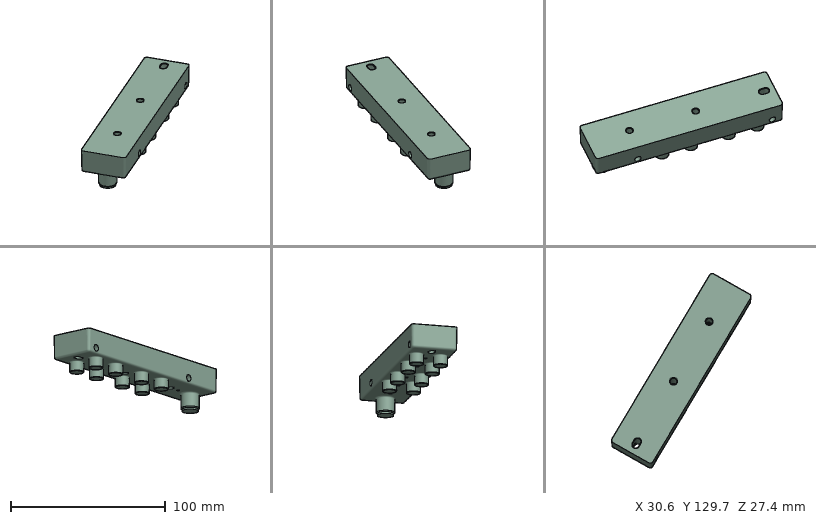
import cadquery as cq
import math

LENGTH = 129.7
WIDTH = 30.6
BODY_HEIGHT = 16.0
DRAFT_ANGLE = 1.0
CORNER_RADIUS = 2.0
BOTTOM_FILLET = 1.5

HOLE_DIAMETER = 4.3
HOLE_CHAMFER = 0.4
SLOT_EXTRA_LENGTH = 2.3
SLOT_Y = 57.5
FRONT_HOLE_Y = -35.9
MIDDLE_HOLE_Y = 10.0
SIDE_HOLE_DEPTH = 11.9

SOCKET_DIAMETER = 9.2
SOCKET_BOTTOM = -22.5
SOCKET_CHAMFER = 0.32
SOCKET_FILLET = 0.5
SOCKET_X = 8.0
SOCKET_PITCH = 20.0
SOCKETS_PER_GROUP = 2
SOCKET_GROUP_STARTS = (49.4, 3.4)

CONNECTOR_Y = -55.4
CONNECTOR_DIAMETER = 12.0
CONNECTOR_TIP_DIAMETER = 10.6
CONNECTOR_BOTTOM = -27.4
CONNECTOR_TIP_LENGTH = 1.2
CONNECTOR_TIP_STEP = (CONNECTOR_DIAMETER - CONNECTOR_TIP_DIAMETER) / 2
CONNECTOR_FILLET = 1.0

DOME_DIAMETER = 2.0
DOME_HEIGHT = 0.3
DOME_SOCKET_OFFSET = 7.3
CONNECTOR_DOME_OFFSET = 12.0

EMBED = 1.3


def revolve_at(profile, x, y):
    """Turn a radius-height outline about the vertical line through (x, y)."""
    return profile.close().revolve(360, (0, 0, 0), (0, 1, 0)).translate((x, y, 0))


def flared_start(radius, fillet):
    """Begin a post outline inside the body and run it out through its root fillet."""
    mid_offset = fillet * (1 - math.sqrt(0.5))
    return (
        cq.Workplane("XZ")
        .moveTo(0, EMBED - BODY_HEIGHT)
        .lineTo(radius + fillet, EMBED - BODY_HEIGHT)
        .lineTo(radius + fillet, -BODY_HEIGHT)
        .threePointArc(
            (radius + mid_offset, -BODY_HEIGHT - mid_offset),
            (radius, -BODY_HEIGHT - fillet),
        )
    )


def make_body():
    body = (
        cq.Workplane("XY")
        .sketch()
        .rect(WIDTH, LENGTH)
        .vertices()
        .fillet(CORNER_RADIUS)
        .finalize()
        .extrude(-BODY_HEIGHT, taper=DRAFT_ANGLE)
    )
    return body.faces("<Z").edges().fillet(BOTTOM_FILLET)


def make_socket(x, y):
    radius = SOCKET_DIAMETER / 2
    profile = (
        flared_start(radius, SOCKET_FILLET)
        .lineTo(radius, SOCKET_BOTTOM + SOCKET_CHAMFER)
        .lineTo(radius - SOCKET_CHAMFER, SOCKET_BOTTOM)
        .lineTo(0, SOCKET_BOTTOM)
    )
    return revolve_at(profile, x, y)


def make_connector():
    radius = CONNECTOR_DIAMETER / 2
    tip_radius = CONNECTOR_TIP_DIAMETER / 2
    tip_top = CONNECTOR_BOTTOM + CONNECTOR_TIP_LENGTH
    profile = (
        flared_start(radius, CONNECTOR_FILLET)
        .lineTo(radius, tip_top + CONNECTOR_TIP_STEP)
        .lineTo(tip_radius, tip_top)
        .lineTo(tip_radius, CONNECTOR_BOTTOM)
        .lineTo(0, CONNECTOR_BOTTOM)
    )
    return revolve_at(profile, 0, CONNECTOR_Y)


def make_dome(y):
    radius = DOME_DIAMETER / 2
    sphere_radius = (radius**2 + DOME_HEIGHT**2) / (2 * DOME_HEIGHT)
    sphere_z = -BODY_HEIGHT - DOME_HEIGHT + sphere_radius
    mid_angle = math.asin(radius / sphere_radius) / 2
    profile = (
        cq.Workplane("XZ")
        .moveTo(0, EMBED - BODY_HEIGHT)
        .lineTo(radius, EMBED - BODY_HEIGHT)
        .lineTo(radius, -BODY_HEIGHT)
        .threePointArc(
            (sphere_radius * math.sin(mid_angle), sphere_z - sphere_radius * math.cos(mid_angle)),
            (0, -BODY_HEIGHT - DOME_HEIGHT),
        )
    )
    return revolve_at(profile, 0, y)


def cut_top_holes(body):
    """Two round holes and a slot straight through, all chamfered at the top."""
    body = (
        body.faces(">Z")
        .workplane(origin=(0, 0, 0))
        .pushPoints([(0, MIDDLE_HOLE_Y), (0, FRONT_HOLE_Y)])
        .hole(HOLE_DIAMETER)
    )
    body = (
        body.faces(">Z")
        .workplane(origin=(0, 0, 0))
        .center(0, SLOT_Y)
        .slot2D(HOLE_DIAMETER + SLOT_EXTRA_LENGTH, HOLE_DIAMETER, 90)
        .cutThruAll()
    )
    hole_rims = cq.selectors.BoxSelector(
        (-HOLE_DIAMETER, -LENGTH / 2 + CORNER_RADIUS, -HOLE_CHAMFER),
        (HOLE_DIAMETER, LENGTH / 2 - CORNER_RADIUS, HOLE_CHAMFER),
    )
    return body.faces(">Z").edges(hole_rims).chamfer(HOLE_CHAMFER)


def cut_side_holes(body):
    """Cross holes along X, level with the slot and the front hole."""
    drills = (
        cq.Workplane("YZ")
        .pushPoints([(SLOT_Y, -SIDE_HOLE_DEPTH), (FRONT_HOLE_Y, -SIDE_HOLE_DEPTH)])
        .circle(HOLE_DIAMETER / 2)
        .extrude(WIDTH, both=True)
    )
    return body.cut(drills)


socket_rows = [
    start - step * SOCKET_PITCH
    for start in SOCKET_GROUP_STARTS
    for step in range(SOCKETS_PER_GROUP)
]

result = cut_side_holes(cut_top_holes(make_body()))
for row_y in socket_rows:
    for side_x in (-SOCKET_X, SOCKET_X):
        result = result.union(make_socket(side_x, row_y))
    result = result.union(make_dome(row_y - DOME_SOCKET_OFFSET))
result = result.union(make_dome(CONNECTOR_Y + CONNECTOR_DOME_OFFSET))
result = result.union(make_connector())